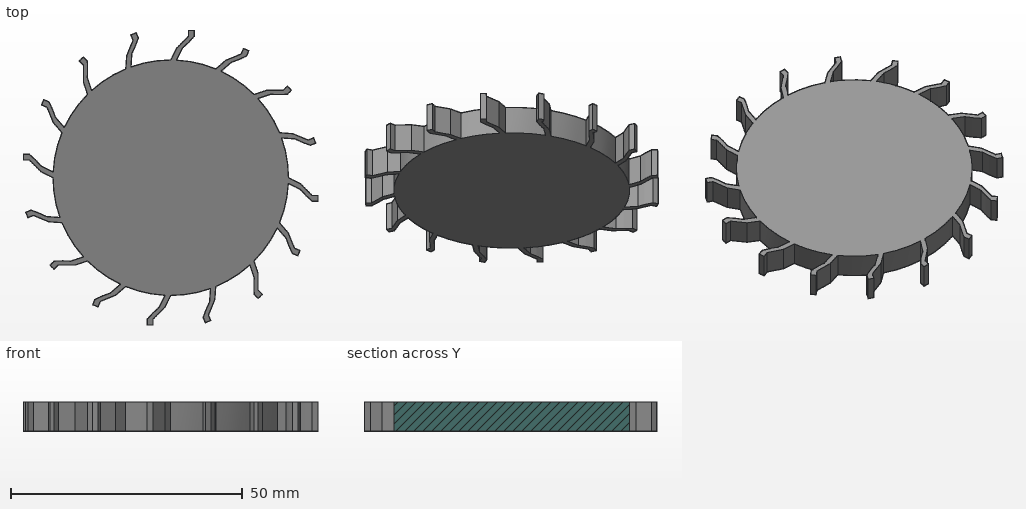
import cadquery as cq

thickness = 6.35
disc_radius = 25.4
tip_radius = 31.75
vane_count = 16
vane_width = 1.3
root_overlap = 1.3

bend_offset = 1.3
bend_radius = 27.95
tip_offset = 3.8
tip_start_radius = 30.5

leading_corner_drop = 0.095


def make_vane():
    """Cranked vane: sloped root, steeper middle and short radial tip."""
    root_slope = bend_offset / (bend_radius - disc_radius)
    trailing_edge = [
        (-root_overlap * root_slope, disc_radius - root_overlap),
        (bend_offset, bend_radius),
        (tip_offset, tip_start_radius),
        (tip_offset, tip_radius),
    ]
    leading_edge = [(x + vane_width, y) for x, y in reversed(trailing_edge)]
    leading_corner = (
        (bend_offset + tip_offset) / 2 + vane_width,
        (bend_radius + tip_start_radius) / 2 - leading_corner_drop,
    )
    leading_edge.insert(2, leading_corner)
    outline = trailing_edge + leading_edge
    return cq.Workplane("XY").polyline(outline).close().extrude(thickness)


result = cq.Workplane("XY").circle(disc_radius).extrude(thickness)

vane = make_vane()
for index in range(vane_count):
    angle = index * 360.0 / vane_count
    result = result.union(vane.rotate((0, 0, 0), (0, 0, 1), angle))